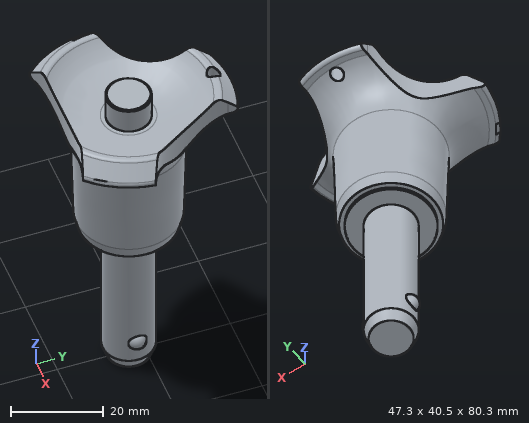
import cadquery as cq
import math


shaft_radius = 6.0
shaft_length = 40.5
tip_radius = 4.9
tip_length = 3.0

ball_radius = 2.2
ball_reach = 7.25
ball_rise = 8.4

handle_height = 39.8
seat_radius = 10.1
seat_height = 0.7
grip_bottom_radius = 11.3
grip_lower_radius = 12.05
grip_upper_radius = 12.6
grip_lower_z = 3.7
grip_upper_z = handle_height - 14.3

flare_mid_radius = 15.2
flare_mid_z = handle_height - 8.7
flare_top_radius = 21.3
rim_radius = 23.76
rim_round = 1.0
rim_bottom_z = handle_height - 5.2

crest_radius = 19.45
crest_half_width = 0.95
crest_drop = 0.4
bowl_mid_radius = 14.2
bowl_mid_z = handle_height - 3.7
bowl_floor_radius = 6.15
bowl_floor_z = handle_height - 6.5

button_radius = 5.05
button_chamfer = 0.3

side_scallop_radius = 24.0
side_scallop_x = 32.4
side_scallop_y = 19.9
front_scallop_radius = 54.0
front_wall_y = -14.0

lanyard_hole_diameter = 3.0
lanyard_hole_y = 19.65


def make_handle():
    """Revolve the grip, flare, rim, crest and bowl as one solid."""
    round_center_radius = rim_radius - rim_round
    round_center_z = rim_bottom_z + rim_round
    round_diagonal = rim_round * math.sqrt(0.5)
    crest_z = handle_height - crest_drop
    profile = (
        cq.Workplane("XZ")
        .moveTo(0, 0)
        .lineTo(seat_radius, 0)
        .lineTo(seat_radius, seat_height)
        .lineTo(grip_bottom_radius, seat_height)
        .lineTo(grip_lower_radius, grip_lower_z)
        .lineTo(grip_upper_radius, grip_upper_z)
        .threePointArc((flare_mid_radius, flare_mid_z), (flare_top_radius, rim_bottom_z))
        .lineTo(round_center_radius, rim_bottom_z)
        .threePointArc(
            (rim_radius, round_center_z),
            (round_center_radius + round_diagonal, round_center_z + round_diagonal),
        )
        .lineTo(crest_radius + crest_half_width, crest_z)
        .threePointArc((crest_radius, handle_height), (crest_radius - crest_half_width, crest_z))
        .threePointArc((bowl_mid_radius, bowl_mid_z), (bowl_floor_radius, bowl_floor_z))
        .lineTo(0, bowl_floor_z)
        .close()
    )
    return profile.revolve(360, (0, 0, 0), (0, 1, 0))


def make_scallop(center_x, center_y, radius):
    """Vertical cylinder over the full handle height whose wall separates two ears."""
    return (
        cq.Workplane("XY")
        .center(center_x, center_y)
        .circle(radius)
        .extrude(handle_height)
    )


def make_side_scallop():
    """Scallop on the +X side that runs on straight along the side of the +Y ear."""
    straight_side = (
        cq.Workplane("XY")
        .center(side_scallop_x, side_scallop_y + side_scallop_radius / 2)
        .rect(2 * side_scallop_radius, side_scallop_radius)
        .extrude(handle_height)
    )
    return make_scallop(side_scallop_x, side_scallop_y, side_scallop_radius).union(straight_side)


def make_lanyard_hole():
    return (
        cq.Workplane("XY")
        .center(0, lanyard_hole_y)
        .circle(lanyard_hole_diameter / 2)
        .extrude(handle_height)
    )


def make_button():
    """Chamfered button rising from the bowl floor to the crest height."""
    return (
        cq.Workplane("XY")
        .workplane(offset=bowl_floor_z)
        .circle(button_radius)
        .extrude(handle_height - bowl_floor_z)
        .faces(">Z")
        .chamfer(button_chamfer)
    )


def make_shaft():
    """Shaft with a tapered tip."""
    return (
        cq.Workplane("XZ")
        .moveTo(0, 0)
        .lineTo(shaft_radius, 0)
        .lineTo(shaft_radius, tip_length - shaft_length)
        .lineTo(tip_radius, -shaft_length)
        .lineTo(0, -shaft_length)
        .close()
        .revolve(360, (0, 0, 0), (0, 1, 0))
    )


def make_ball(side):
    """Locking ball on the +X (side = 1) or -X (side = -1) side of the shaft."""
    center_x = side * (ball_reach - ball_radius)
    center_z = ball_rise - shaft_length
    return cq.Workplane("XY").sphere(ball_radius).translate((center_x, 0, center_z))


handle = make_handle()
side_scallop = make_side_scallop()
handle = handle.cut(side_scallop)
handle = handle.cut(side_scallop.mirror("YZ"))
handle = handle.cut(make_scallop(0, front_wall_y - front_scallop_radius, front_scallop_radius))
handle = handle.cut(make_lanyard_hole())

result = handle.union(make_button()).union(make_shaft())
for side in (1, -1):
    result = result.union(make_ball(side))